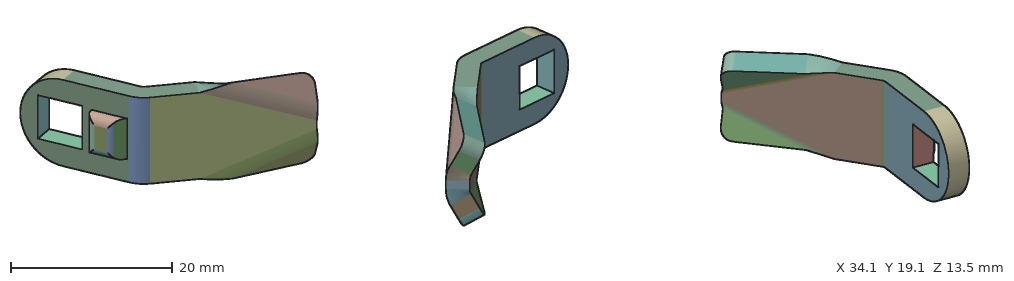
import cadquery as cq
import math

THICKNESS = 3.0
HALF_WIDTH = 6.03
HOLE_LEFT = -3.5
HOLE_LENGTH = 6.2
HOLE_HEIGHT = 6.05

BEND_X = 9.33
BEND_ANGLE = 40.0
BEND_OUTER_RADIUS = 3.85
ARM_LENGTH = 21.15

FOLD_START = 6.25
FOLD_SLANT = 20.0
FOLD_ANGLE = 30.0
FOLD_OUTER_RADIUS = 4.25
FOLD_INNER_RADIUS = FOLD_OUTER_RADIUS - THICKNESS
FOLD_MIDDLE_RADIUS = FOLD_OUTER_RADIUS - THICKNESS / 2
FOLD_FLARE = 3.8
FOLD_SECTIONS = 5
WING_CORNER_RADIUS = 1.7

STUD_LEFT = 4.05
STUD_LENGTH = 4.97
STUD_WIDTH = 5.65
STUD_HEIGHT = 1.53
STUD_FILLET = 1.23

bend = math.radians(BEND_ANGLE)
ARM_ORIGIN = (
    BEND_X + BEND_OUTER_RADIUS * math.sin(bend),
    BEND_OUTER_RADIUS * (1 - math.cos(bend)),
    0,
)
ARM_DIRECTION = cq.Vector(math.cos(bend), math.sin(bend), 0)
ARM_BACK = cq.Vector(-math.sin(bend), math.cos(bend), 0)
UP = cq.Vector(0, 0, 1)

slant = math.radians(FOLD_SLANT)
fold = math.radians(FOLD_ANGLE)
FOLD_DIRECTION = ARM_DIRECTION * math.cos(slant) - UP * math.sin(slant)
FOLD_OUTWARD = ARM_DIRECTION * math.sin(slant) + UP * math.cos(slant)
FOLD_ORIGIN = cq.Vector(*ARM_ORIGIN) + ARM_DIRECTION * FOLD_START + UP * HALF_WIDTH


def fold_end(angle):
    """Distance along the fold at which the arm's end cuts it, at one fold angle."""
    unrolled = FOLD_MIDDLE_RADIUS * angle
    return (ARM_LENGTH - FOLD_START - unrolled * math.sin(slant)) / math.cos(slant)


def fold_point(along, radius, angle):
    """Point in the fold, measured about the axis of its cylinder."""
    outward = radius * math.sin(angle)
    back = FOLD_OUTER_RADIUS - radius * math.cos(angle)
    return FOLD_ORIGIN + FOLD_DIRECTION * along + FOLD_OUTWARD * outward + ARM_BACK * back


def make_plate():
    outline = (
        cq.Workplane("XZ")
        .moveTo(0, HALF_WIDTH)
        .lineTo(BEND_X, HALF_WIDTH)
        .lineTo(BEND_X, -HALF_WIDTH)
        .lineTo(0, -HALF_WIDTH)
        .threePointArc((-HALF_WIDTH, 0), (0, HALF_WIDTH))
        .close()
    )
    plate = outline.extrude(-THICKNESS)
    hole = (
        cq.Workplane("XZ")
        .center(HOLE_LEFT + HOLE_LENGTH / 2, 0)
        .rect(HOLE_LENGTH, HOLE_HEIGHT)
        .extrude(-THICKNESS)
    )
    return plate.cut(hole)


def make_bend():
    def on_bend(radius, angle):
        return (
            BEND_X + radius * math.sin(angle),
            BEND_OUTER_RADIUS - radius * math.cos(angle),
        )

    inner_radius = BEND_OUTER_RADIUS - THICKNESS
    return (
        cq.Workplane("XY")
        .moveTo(*on_bend(BEND_OUTER_RADIUS, 0))
        .threePointArc(on_bend(BEND_OUTER_RADIUS, bend / 2), on_bend(BEND_OUTER_RADIUS, bend))
        .lineTo(*on_bend(inner_radius, bend))
        .threePointArc(on_bend(inner_radius, bend / 2), on_bend(inner_radius, 0))
        .close()
        .extrude(HALF_WIDTH, both=True)
    )


def make_arm():
    """Flat middle of the arm, bounded by the two fold lines."""
    tip_half_width = HALF_WIDTH - (ARM_LENGTH - FOLD_START) * math.tan(slant)
    front = cq.Plane(origin=ARM_ORIGIN, xDir=ARM_DIRECTION.toTuple(), normal=(-ARM_BACK).toTuple())
    outline = [
        (0, HALF_WIDTH),
        (FOLD_START, HALF_WIDTH),
        (ARM_LENGTH, tip_half_width),
        (ARM_LENGTH, -tip_half_width),
        (FOLD_START, -HALF_WIDTH),
        (0, -HALF_WIDTH),
    ]
    return cq.Workplane(front).polyline(outline).close().extrude(-THICKNESS)


def make_fold():
    """Curved strip between arm and wing, lofted through radial sections."""
    sections = []
    for index in range(FOLD_SECTIONS):
        share = index / (FOLD_SECTIONS - 1)
        angle = fold * share
        start = FOLD_FLARE * share
        end = fold_end(angle)
        corners = [
            fold_point(start, FOLD_OUTER_RADIUS, angle),
            fold_point(end, FOLD_OUTER_RADIUS, angle),
            fold_point(end, FOLD_INNER_RADIUS, angle),
            fold_point(start, FOLD_INNER_RADIUS, angle),
        ]
        sections.append(cq.Wire.makePolygon(corners, close=True))
    return cq.Workplane(cq.Solid.makeLoft(sections))


def make_wing():
    """Flat wing beyond the fold, with its free corner rounded."""
    back = ARM_BACK * math.cos(fold) - FOLD_OUTWARD * math.sin(fold)
    origin = fold_point(0, FOLD_OUTER_RADIUS, fold)
    front = cq.Plane(origin=origin.toTuple(), xDir=FOLD_DIRECTION.toTuple(), normal=(-back).toTuple())
    end = fold_end(fold)
    edge_length = (end - FOLD_FLARE) * math.cos(slant)
    corner = (FOLD_FLARE + edge_length * math.cos(slant), edge_length * math.sin(slant))
    wing = (
        cq.Workplane(front)
        .polyline([(FOLD_FLARE, 0), (end, 0), corner])
        .close()
        .extrude(-THICKNESS)
    )
    corner_middle = front.toWorldCoords((*corner, -THICKNESS / 2))
    corner_edge = cq.selectors.NearestToPointSelector(corner_middle.toTuple())
    return wing.edges(corner_edge).fillet(WING_CORNER_RADIUS)


def make_lever():
    lever = make_plate().union(make_bend()).union(make_arm())
    for feature in (make_fold(), make_wing()):
        lever = lever.union(feature).union(feature.mirror("XY"))
    return lever


def make_stud():
    """Block with a ramp toward the bend and rounded edges around its front face."""
    block = (
        cq.Workplane("XY")
        .moveTo(STUD_LEFT, 0)
        .lineTo(STUD_LEFT + STUD_LENGTH, 0)
        .lineTo(STUD_LEFT + STUD_LENGTH - STUD_HEIGHT, -STUD_HEIGHT)
        .lineTo(STUD_LEFT, -STUD_HEIGHT)
        .close()
        .extrude(STUD_WIDTH / 2, both=True)
    )
    return block.faces("<Y").edges().fillet(STUD_FILLET)


lever = make_lever()
stud = make_stud()
result = cq.Compound.makeCompound([*lever.solids().vals(), *stud.solids().vals()])